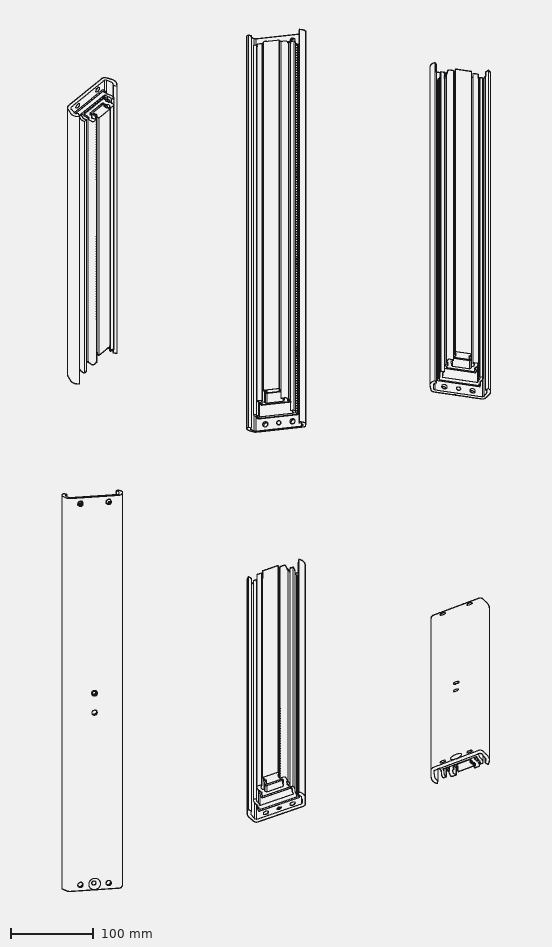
import cadquery as cq
import math

LENGTH = 500.0
WIDTH = 75.0
DEPTH = 32.0
TOP_Z = 485.5
THIRD_TOP = 484.0
MIDDLE_BOTTOM = 15.0
THIRD_BOTTOM = 29.5
BAR_BOTTOM = 41.5
CAGE_SHEET = 2.0

OUTER_PLATE = 4.25
PLATE_HALF = 29.5
BEVEL_START = (3.0, 34.0)
INNER_CORNER = (6.0, 31.5)
RACE_X = 13.5
LIP_OUTER_RADIUS = 9.5
LIP_INNER_RADIUS = 5.0
RACE_Y = WIDTH / 2 - LIP_OUTER_RADIUS
LIP_ROOT_ANGLE = 115.0
LIP_TIP_ANGLE = 32.0

MIDDLE_BACK, MIDDLE_FRONT = 6.5, 12.0
THIRD_BACK, THIRD_FRONT = 14.0, 18.0
BAR_BACK = 21.0
MIDDLE_TIP = 23.0
THIRD_TIP = 30.5

MIDDLE_HALF = 24.5
THIRD_HALF = 17.5
BAR_HALF = 9.0

MIDDLE_RACE_START = (9.0, 26.0)
MIDDLE_RACE_BOTTOM = (13.0, 25.0)
MIDDLE_RACE_END = (16.5, 26.0)
MIDDLE_HUMP = (19.0, 26.5)
MIDDLE_TIP_HALF = 26.0
MIDDLE_INNER_HALF = 22.0
MIDDLE_INNER_RACE_START = 16.0
MIDDLE_INNER_RACE_TOP = (19.0, 23.0)

THIRD_RACE_START = 17.0
THIRD_RACE_BOTTOM = (19.0, 16.5)
THIRD_RACE_END = 21.0
THIRD_STEP_X = 22.5
THIRD_OUTER_HALF = 19.0
THIRD_CORNER = 2.0
THIRD_INNER_HALF = 12.0
THIRD_INNER_RACE_START = 22.5
THIRD_INNER_RACE_TOP = (26.0, 14.5)
THIRD_INNER_RACE_END = 29.0
THIRD_ROOT_BEVEL = 1.5

BAR_RACE_START = 23.0
BAR_RACE_BOTTOM = (26.0, 8.0)
BAR_RACE_END = 29.0
BAR_FACE_HALF = 10.0

MIDDLE_CAGE_END = 9.0
THIRD_CAGE_END = THIRD_STEP_X
BAR_CAGE_END = 27.0

CORNER_HOLE_DIA = 6.5
CORNER_HOLE_Y = 17.5
HOLE_INSET = 7.5
CENTER_HOLE_DIA = 4.5
CENTER_BORE_DIA = 7.0
LOWER_HOLE_DIA = 6.5
LOWER_HOLE_DROP = 24.5
SINK_DIA = 14.5
SINK_BORE_DIA = 5.0


def symmetric_bar(half_outline, bottom, top):
    """Extrude a closed half section (y >= 0, closed along y = 0) and mirror it across XZ."""
    half = half_outline.close().extrude(top - bottom).translate((0, 0, bottom))
    return half.union(half.mirror("XZ"))


def lip_point(radius, angle):
    """Point of the +Y lip, on an arc about the raceway center."""
    turn = math.radians(angle)
    return (RACE_X + radius * math.cos(turn), RACE_Y + radius * math.sin(turn))


def plate_hole(diameter, y, z, depth=OUTER_PLATE):
    """Cutter for a round hole into the outer rail's back face."""
    return cq.Workplane("YZ").center(y, z).circle(diameter / 2).extrude(depth)


def make_outer_rail():
    middle_angle = (LIP_ROOT_ANGLE + LIP_TIP_ANGLE) / 2
    outer_root, outer_middle, outer_tip = [
        lip_point(LIP_OUTER_RADIUS, angle) for angle in (LIP_ROOT_ANGLE, middle_angle, LIP_TIP_ANGLE)
    ]
    inner_root, inner_middle, inner_tip = [
        lip_point(LIP_INNER_RADIUS, angle) for angle in (LIP_ROOT_ANGLE, middle_angle, LIP_TIP_ANGLE)
    ]
    outline = (
        cq.Workplane("XY")
        .moveTo(0, 0)
        .lineTo(0, PLATE_HALF)
        .tangentArcPoint(BEVEL_START, relative=False)
        .lineTo(*outer_root)
        .threePointArc(outer_middle, outer_tip)
        .lineTo(*inner_tip)
        .threePointArc(inner_middle, inner_root)
        .lineTo(*INNER_CORNER)
        .lineTo(OUTER_PLATE, PLATE_HALF)
        .lineTo(OUTER_PLATE, 0)
    )
    rail = symmetric_bar(outline, 0, LENGTH)
    for z in (HOLE_INSET, LENGTH - HOLE_INSET):
        for y in (-CORNER_HOLE_Y, CORNER_HOLE_Y):
            rail = rail.cut(plate_hole(CORNER_HOLE_DIA, y, z))
    rail = rail.cut(plate_hole(CENTER_HOLE_DIA, 0, LENGTH / 2))
    rail = rail.cut(plate_hole(CENTER_BORE_DIA, 0, LENGTH / 2, OUTER_PLATE / 2))
    rail = rail.cut(plate_hole(LOWER_HOLE_DIA, 0, LENGTH / 2 - LOWER_HOLE_DROP))
    sink_center = cq.Vector(0, 0, HOLE_INSET)
    sink = cq.Solid.makeCone(SINK_DIA / 2, SINK_BORE_DIA / 2, OUTER_PLATE, sink_center, cq.Vector(1, 0, 0))
    return rail.cut(cq.Workplane(sink))


def make_middle_rail():
    outline = (
        cq.Workplane("XY")
        .moveTo(MIDDLE_BACK, 0)
        .lineTo(MIDDLE_BACK, MIDDLE_HALF)
        .lineTo(MIDDLE_CAGE_END, MIDDLE_HALF)
        .lineTo(*MIDDLE_RACE_START)
        .threePointArc(MIDDLE_RACE_BOTTOM, MIDDLE_RACE_END)
        .threePointArc(MIDDLE_HUMP, (MIDDLE_TIP, MIDDLE_TIP_HALF))
        .lineTo(MIDDLE_TIP, MIDDLE_INNER_HALF)
        .threePointArc(MIDDLE_INNER_RACE_TOP, (MIDDLE_INNER_RACE_START, MIDDLE_INNER_HALF))
        .lineTo(MIDDLE_FRONT, MIDDLE_INNER_HALF)
        .lineTo(MIDDLE_FRONT, 0)
    )
    return symmetric_bar(outline, MIDDLE_BOTTOM, TOP_Z)


def make_third_rail():
    outline = (
        cq.Workplane("XY")
        .moveTo(THIRD_BACK, 0)
        .lineTo(THIRD_BACK, THIRD_HALF)
        .lineTo(THIRD_RACE_START, THIRD_HALF)
        .threePointArc(THIRD_RACE_BOTTOM, (THIRD_RACE_END, THIRD_HALF))
        .lineTo(THIRD_STEP_X, THIRD_HALF)
        .lineTo(THIRD_STEP_X, THIRD_OUTER_HALF)
        .lineTo(THIRD_TIP - THIRD_CORNER, THIRD_OUTER_HALF)
        .tangentArcPoint((THIRD_TIP, THIRD_OUTER_HALF - THIRD_CORNER), relative=False)
        .lineTo(THIRD_TIP, THIRD_INNER_HALF)
        .lineTo(THIRD_INNER_RACE_END, THIRD_INNER_HALF)
        .threePointArc(THIRD_INNER_RACE_TOP, (THIRD_INNER_RACE_START, THIRD_INNER_HALF))
        .lineTo(THIRD_FRONT + THIRD_ROOT_BEVEL, THIRD_INNER_HALF)
        .lineTo(THIRD_FRONT, THIRD_INNER_HALF - THIRD_ROOT_BEVEL)
        .lineTo(THIRD_FRONT, 0)
    )
    return symmetric_bar(outline, THIRD_BOTTOM, THIRD_TOP)


def make_inner_bar():
    outline = (
        cq.Workplane("XY")
        .moveTo(BAR_BACK, 0)
        .lineTo(BAR_BACK, BAR_HALF)
        .lineTo(BAR_RACE_START, BAR_HALF)
        .threePointArc(BAR_RACE_BOTTOM, (BAR_RACE_END, BAR_FACE_HALF))
        .lineTo(DEPTH, BAR_FACE_HALF)
        .lineTo(DEPTH, 0)
    )
    return symmetric_bar(outline, BAR_BOTTOM, TOP_Z)


def make_cage(back, half_width, arm_end, bottom):
    """A sheet channel whose inside fits the back of the part it carries."""
    outline = (
        cq.Workplane("XY")
        .moveTo(back - CAGE_SHEET, 0)
        .lineTo(back - CAGE_SHEET, half_width + CAGE_SHEET)
        .lineTo(arm_end, half_width + CAGE_SHEET)
        .lineTo(arm_end, half_width)
        .lineTo(back, half_width)
        .lineTo(back, 0)
    )
    return symmetric_bar(outline, bottom, TOP_Z)


outer_rail = make_outer_rail()
middle_rail = make_middle_rail()
third_rail = make_third_rail()
inner_bar = make_inner_bar()
cages = [
    make_cage(MIDDLE_BACK, MIDDLE_HALF, MIDDLE_CAGE_END, MIDDLE_BOTTOM),
    make_cage(THIRD_BACK, THIRD_HALF, THIRD_CAGE_END, THIRD_BOTTOM),
    make_cage(BAR_BACK, BAR_HALF, BAR_CAGE_END, BAR_BOTTOM),
]

result = cq.Compound.makeCompound(
    [outer_rail.val(), middle_rail.val(), third_rail.val(), inner_bar.val()] + [cage.val() for cage in cages]
)